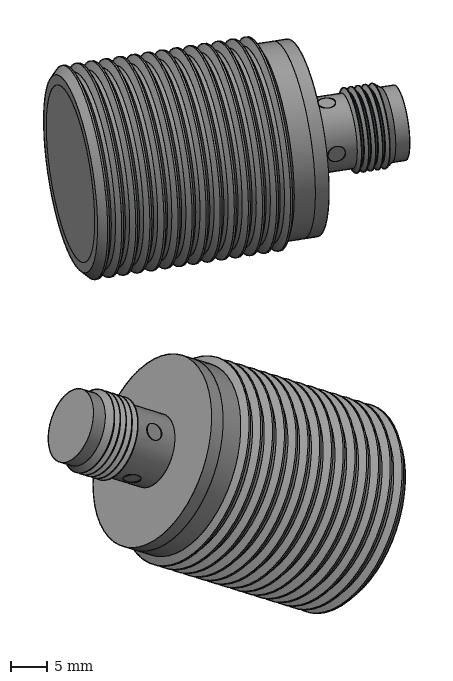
import cadquery as cq
import math

overall_length = 47.2
full_turn = 360

housing_diameter = 30.0
housing_root_diameter = 27.65
thread_length = 28.25
neck_length = 3.0
front_chamfer = 1.15
ridge_count = 14
ridge_base = 1.4
ridge_crest = 0.3

face_diameter = 24.85
face_thickness = 2.0

cap_thickness = 2.0
cap_front = thread_length + neck_length
cap_back = cap_front + cap_thickness

connector_diameter = 12.0
connector_root_diameter = 10.58
connector_tip_length = 2.05
connector_thread_length = 5.5
connector_lead_in = 1.0
connector_ridge_count = 5
connector_ridge_base = 0.9
connector_ridge_crest = 0.1

window_count = 4
window_diameter = 2.5
window_depth = 1.0
window_setback = 10.5
window_position = overall_length - window_setback
window_face = math.sqrt((connector_root_diameter / 2) ** 2 - (window_diameter / 2) ** 2)
window_floor = window_face - window_depth


def revolved(outline):
    """Solid of revolution about Y from an outline of (radius, y) points."""
    return cq.Workplane("XY").polyline(outline).close().revolve(full_turn, (0, 0, 0), (0, 1, 0))


def ridge_points(center, base, crest, root_radius, crest_radius):
    """Trapezoidal thread ridge in the order of rising y."""
    return [
        (root_radius, center - base / 2),
        (crest_radius, center - crest / 2),
        (crest_radius, center + crest / 2),
        (root_radius, center + base / 2),
    ]


def make_housing():
    root_radius = housing_root_diameter / 2
    crest_radius = housing_diameter / 2
    first_center = front_chamfer + ridge_crest / 2
    last_center = thread_length - ridge_base / 2
    pitch = (last_center - first_center) / (ridge_count - 1)

    outline = [(0, 0), (crest_radius - front_chamfer, 0)]
    for index in range(ridge_count):
        ridge = ridge_points(
            first_center + index * pitch, ridge_base, ridge_crest, root_radius, crest_radius
        )
        outline += ridge[1:] if index == 0 else ridge
    outline += [(root_radius, cap_front), (0, cap_front)]
    return revolved(outline).cut(make_sensing_face())


def make_sensing_face():
    return revolved(
        [(0, 0), (face_diameter / 2, 0), (face_diameter / 2, face_thickness), (0, face_thickness)]
    )


def make_cap():
    radius = housing_root_diameter / 2
    return revolved([(0, cap_front), (radius, cap_front), (radius, cap_back), (0, cap_back)])


def make_connector():
    root_radius = connector_root_diameter / 2
    crest_radius = connector_diameter / 2
    thread_end = overall_length - connector_tip_length
    first_center = thread_end - connector_thread_length + connector_ridge_base / 2
    last_center = thread_end - connector_lead_in - connector_ridge_crest / 2
    pitch = (last_center - first_center) / (connector_ridge_count - 1)

    outline = [(0, cap_back), (root_radius, cap_back)]
    for index in range(connector_ridge_count):
        ridge = ridge_points(
            first_center + index * pitch,
            connector_ridge_base,
            connector_ridge_crest,
            root_radius,
            crest_radius,
        )
        outline += ridge[:-1] if index == connector_ridge_count - 1 else ridge
    outline += [(root_radius, thread_end), (root_radius, overall_length), (0, overall_length)]

    connector = revolved(outline)
    for index in range(window_count):
        connector = connector.cut(window_peg(index, window_floor, root_radius))
    return connector


def window_peg(index, inner, outer):
    """Radial round peg between two distances from the axis."""
    peg = (
        cq.Workplane("XY", origin=(0, window_position, inner))
        .circle(window_diameter / 2)
        .extrude(outer - inner)
    )
    return peg.rotate((0, 0, 0), (0, 1, 0), index * full_turn / window_count)


housing = make_housing()
sensing_face = make_sensing_face()
cap = make_cap()
connector = make_connector()
windows = [window_peg(index, window_floor, window_face) for index in range(window_count)]

result = cq.Compound.makeCompound(
    [housing.val(), sensing_face.val(), cap.val(), connector.val(), *[w.val() for w in windows]]
)